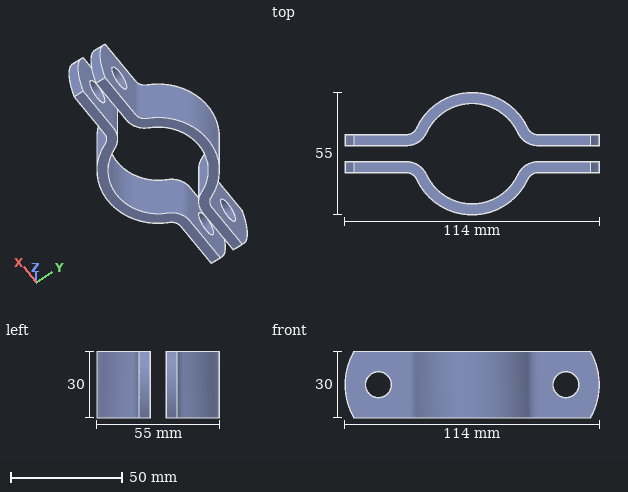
import cadquery as cq
import math

length = 114.0
height = 30.0
thickness = 5.0
ring_outer_radius = 27.5
ear_gap = 7.1
hole_diameter = 11.5
hole_spacing = 84.0
tip_radius = height

ring_inner_radius = ring_outer_radius - thickness
ear_inner_y = ear_gap / 2
ear_outer_y = ear_inner_y + thickness
bend_small_radius = thickness
bend_large_radius = bend_small_radius + thickness

bend_center_distance = ring_outer_radius + bend_small_radius
bend_center_y = ear_outer_y + bend_small_radius
bend_center_x = math.sqrt(bend_center_distance**2 - bend_center_y**2)
ring_end_angle = math.atan2(bend_center_y, bend_center_x)
bend_mid_angle = (ring_end_angle + math.pi / 2) / 2


def ring_end(radius, side):
    """Point where the ring meets the bend; side is +1 or -1 along X."""
    return (side * radius * math.cos(ring_end_angle), radius * math.sin(ring_end_angle))


def bend_middle(radius, side):
    """Point halfway along a bend of the given radius."""
    x = bend_center_x - radius * math.cos(bend_mid_angle)
    y = bend_center_y - radius * math.sin(bend_mid_angle)
    return (side * x, y)


def make_strap():
    """Bent strip of constant thickness, centred on Z = 0."""
    half_length = length / 2
    return (
        cq.Workplane("XY", origin=(0, 0, -height / 2))
        .moveTo(-half_length, ear_inner_y)
        .lineTo(-bend_center_x, ear_inner_y)
        .threePointArc(bend_middle(bend_large_radius, -1), ring_end(ring_inner_radius, -1))
        .threePointArc((0, ring_inner_radius), ring_end(ring_inner_radius, 1))
        .threePointArc(bend_middle(bend_large_radius, 1), (bend_center_x, ear_inner_y))
        .lineTo(half_length, ear_inner_y)
        .lineTo(half_length, ear_outer_y)
        .lineTo(bend_center_x, ear_outer_y)
        .threePointArc(bend_middle(bend_small_radius, 1), ring_end(ring_outer_radius, 1))
        .threePointArc((0, ring_outer_radius), ring_end(ring_outer_radius, -1))
        .threePointArc(bend_middle(bend_small_radius, -1), (-bend_center_x, ear_outer_y))
        .lineTo(-half_length, ear_outer_y)
        .close()
        .extrude(height)
    )


def make_rounded_envelope():
    """Block along Y whose two ends along X are rounded like the ear tips."""
    tip_sagitta = tip_radius - math.sqrt(tip_radius**2 - (height / 2) ** 2)
    corner_x = length / 2 - tip_sagitta
    return (
        cq.Workplane("XZ")
        .moveTo(-corner_x, -height / 2)
        .lineTo(corner_x, -height / 2)
        .threePointArc((length / 2, 0), (corner_x, height / 2))
        .lineTo(-corner_x, height / 2)
        .threePointArc((-length / 2, 0), (-corner_x, -height / 2))
        .close()
        .extrude(ring_outer_radius, both=True)
    )


def make_bolt_holes():
    """Cutters for the bolt holes through both ears."""
    return (
        cq.Workplane("XZ")
        .pushPoints([(-hole_spacing / 2, 0), (hole_spacing / 2, 0)])
        .circle(hole_diameter / 2)
        .extrude(ring_outer_radius, both=True)
    )


def make_clamp_half(turn):
    """One clamp half, turned about Z by the given angle in degrees."""
    half = make_strap().intersect(make_rounded_envelope()).cut(make_bolt_holes())
    return half.rotate((0, 0, 0), (0, 0, 1), turn)


clamp_halves = [make_clamp_half(turn).val() for turn in (0, 180)]

result = cq.Compound.makeCompound(
    [solid for half in clamp_halves for solid in half.Solids()]
)